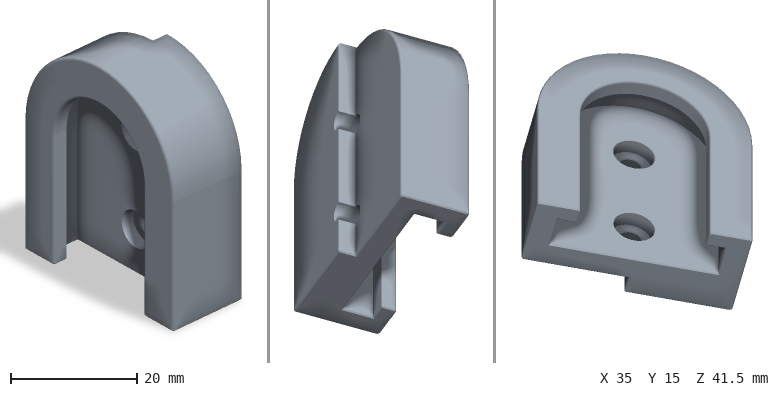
import cadquery as cq

height = 41.5
width = 35.0
depth = 15.0
outer_radius = width / 2
arch_center_z = height - outer_radius
edge_round = 0.5
base_chamfer = 0.2

mouth_radius = 10.5
cavity_radius = 13.7
lip_depth = 2.7
cavity_floor_y = 8.0

step_y = 12.0

hole_heights = (8.05, 26.1)
hole_diameter = 3.5
hole_rim_chamfer = 0.15
counterbore_diameter = 6.72
counterbore_depth = 2.5
upper_rim_chamfer = 0.12


def arch(radius, front_y, back_y):
    """Arch-shaped prism between two Y positions, open side down at Z = 0."""
    return (
        cq.Workplane("XZ", origin=(0, front_y, 0))
        .moveTo(-radius, 0)
        .lineTo(-radius, arch_center_z)
        .threePointArc((0, arch_center_z + radius), (radius, arch_center_z))
        .lineTo(radius, 0)
        .close()
        .extrude(front_y - back_y)
    )


def drill(diameter, front_y, back_y, z):
    """Cylinder along Y used to cut a hole."""
    return (
        cq.Workplane("XZ", origin=(0, front_y, z))
        .circle(diameter / 2)
        .extrude(front_y - back_y)
    )


def rim_cone(diameter, chamfer, front_y, z):
    """Short cone that chamfers the front rim of a hole."""
    return (
        cq.Workplane("XZ", origin=(0, front_y, z))
        .circle(diameter / 2 + chamfer)
        .workplane(offset=-chamfer)
        .circle(diameter / 2)
        .loft()
    )


def rounded_arch(back_y):
    """Outer arch with its front and back rims rounded, base edges left sharp."""
    rims = "(<Y or >Y) and (not <Z)"
    return arch(outer_radius, 0, back_y).edges(rims).fillet(edge_round)


def half_space(side):
    """Box covering the whole part on one side of X = 0."""
    return cq.Workplane("XY").box(
        width, depth, height, centered=(True, False, False)
    ).translate((side * width / 2, 0, 0))


shallow_half = rounded_arch(step_y).intersect(half_space(-1))
deep_half = rounded_arch(depth).intersect(half_space(1))
body = shallow_half.union(deep_half)

body = body.cut(arch(mouth_radius, 0, lip_depth))
mouth_reach = mouth_radius + edge_round / 2
mouth_edges = cq.selectors.BoxSelector(
    (-mouth_reach, -edge_round / 2, 0),
    (mouth_reach, edge_round / 2, arch_center_z + mouth_reach),
)
body = body.edges(mouth_edges).edges("not <Z").fillet(edge_round)
body = body.cut(arch(cavity_radius, lip_depth, cavity_floor_y))

body = body.faces("<Z").chamfer(base_chamfer)

seat_y = cavity_floor_y + counterbore_depth
for z in hole_heights:
    body = body.cut(drill(counterbore_diameter, cavity_floor_y, seat_y, z))
    body = body.cut(drill(hole_diameter, seat_y, depth, z))
    body = body.cut(rim_cone(hole_diameter, hole_rim_chamfer, seat_y, z))

upper_hole_z = max(hole_heights)
body = body.cut(rim_cone(counterbore_diameter, upper_rim_chamfer, cavity_floor_y, upper_hole_z))

result = body